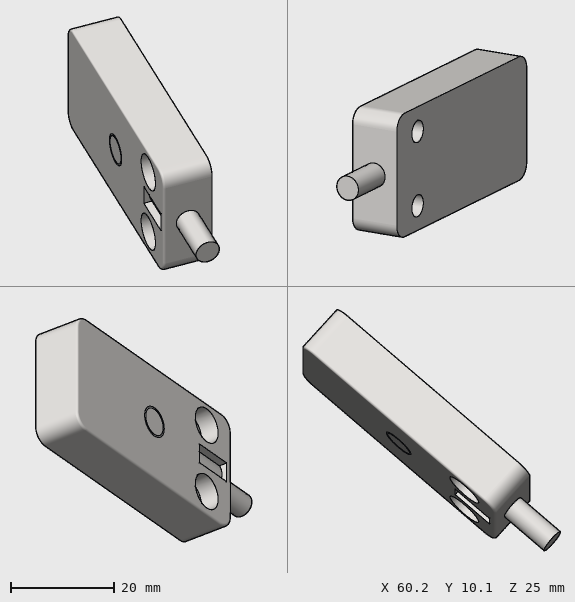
import cadquery as cq

total_length = 60.2
housing_length = 49.95
housing_depth = 10.1
housing_height = 25.0
corner_radius = 3.0
front_edge_radius = 0.5

mount_x = 41.95
mount_spacing = 15.0
mount_diameter = 4.4
counterbore_diameter = 7.4
counterbore_depth = 4.0

cable_diameter = 4.9
cable_y = housing_depth / 2

window_left = 39.6
window_right = 48.45
window_height = 4.2
window_floor_radius = 3.9

ring_x = housing_length / 2
ring_outer_diameter = 6.4
ring_inner_diameter = 5.65
ring_depth = 0.5


def front_cylinder(x, z, diameter, depth):
    """Cylinder running from the front face into the housing along +Y."""
    return (
        cq.Workplane("XZ", origin=(x, 0, z))
        .circle(diameter / 2)
        .extrude(-depth)
    )


def cable_axis_cylinder(x_start, x_end, diameter):
    """Cylinder along X, centred on the cable axis."""
    return (
        cq.Workplane("YZ", origin=(x_start, cable_y, 0))
        .circle(diameter / 2)
        .extrude(x_end - x_start)
    )


def make_block():
    block = cq.Workplane("XY").box(
        housing_length, housing_depth, housing_height, centered=(False, False, True)
    )
    block = block.edges("|Y").fillet(corner_radius)
    return block.faces("<Y").edges().fillet(front_edge_radius)


def make_window():
    opening = cq.Workplane("XY", origin=(window_left, 0, 0)).box(
        window_right - window_left, cable_y, window_height, centered=(False, False, True)
    )
    return opening.cut(cable_axis_cylinder(window_left, window_right, 2 * window_floor_radius))


def make_housing(ring):
    housing = make_block()
    for side in (-1, 1):
        mount_z = side * mount_spacing / 2
        housing = housing.cut(front_cylinder(mount_x, mount_z, mount_diameter, housing_depth))
        housing = housing.cut(front_cylinder(mount_x, mount_z, counterbore_diameter, counterbore_depth))
    return housing.cut(make_window()).cut(ring)


def make_cable():
    return cable_axis_cylinder(housing_length, total_length, cable_diameter)


def make_ring():
    outer = front_cylinder(ring_x, 0, ring_outer_diameter, ring_depth)
    return outer.cut(front_cylinder(ring_x, 0, ring_inner_diameter, ring_depth))


ring = make_ring()
housing = make_housing(ring)
cable = make_cable()

result = cq.Compound.makeCompound([housing.val(), cable.val(), ring.val()])